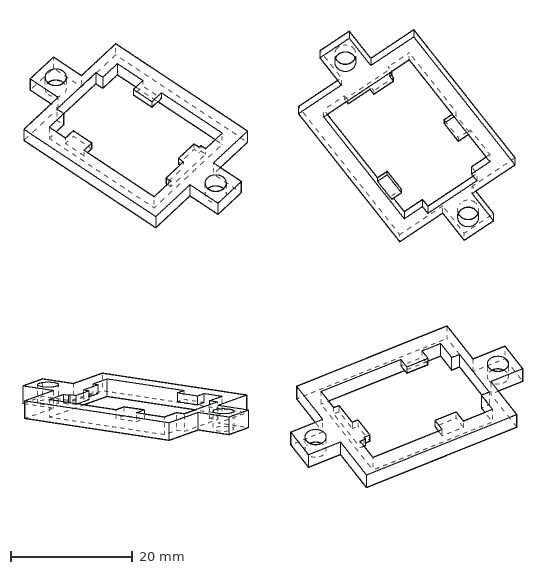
import cadquery as cq

total_length = 40.5
frame_length = 28.45
frame_width = 23.5
thickness = 3.0
opening_length = 22.6
opening_width = 17.4

lug_width = 6.0
hole_diameter = 3.5
lug_length = (total_length - frame_length) / 2
hole_offset = (frame_length + lug_length) / 2

notch_depth = 1.5
notch_width = 9.95

tab_thickness = thickness / 2
tab_size = 4.0
back_tab_center_x = -3.8
back_tab_reach = 2.45
front_tab_center_x = -5.8
front_tab_reach = 2.0
ledge_width = 8.9
ledge_reach = 1.0
end_tab_center_y = 2.0
end_tab_reach = 2.1

wall_x = opening_length / 2
wall_y = opening_width / 2


def block(x_min, x_max, y_min, y_max, z_min=0.0):
    """Box between the given limits, ending at the top face of the frame."""
    size = (x_max - x_min, y_max - y_min, thickness - z_min)
    return cq.Workplane("XY").box(*size, centered=False).translate((x_min, y_min, z_min))


def tab(x_min, x_max, y_min, y_max):
    """Thin block flush with the top face."""
    return block(x_min, x_max, y_min, y_max, thickness - tab_thickness)


def make_frame():
    """Rectangular frame with two drilled lugs and a notched opening."""
    plate = block(-frame_length / 2, frame_length / 2, -frame_width / 2, frame_width / 2)
    lugs = block(-total_length / 2, total_length / 2, -lug_width / 2, lug_width / 2)
    opening = block(-wall_x, wall_x, -wall_y, wall_y)
    notch = block(-wall_x - notch_depth, 0, -notch_width / 2, notch_width / 2)
    holes = (
        cq.Workplane("XY")
        .pushPoints([(-hole_offset, 0), (hole_offset, 0)])
        .circle(hole_diameter / 2)
        .extrude(thickness)
    )
    return plate.union(lugs).cut(opening).cut(notch).cut(holes)


def side_tab(center_x, y_min, y_max):
    """Tab on one of the long walls."""
    return tab(center_x - tab_size / 2, center_x + tab_size / 2, y_min, y_max)


def end_wall_tab(center_y, width, reach):
    """Tab on the +X wall."""
    return tab(wall_x - reach, wall_x, center_y - width / 2, center_y + width / 2)


tabs = [
    side_tab(back_tab_center_x, wall_y - back_tab_reach, wall_y),
    side_tab(front_tab_center_x, -wall_y, -wall_y + front_tab_reach),
    end_wall_tab(0, ledge_width, ledge_reach),
    end_wall_tab(end_tab_center_y, tab_size, end_tab_reach),
]

result = make_frame()
for item in tabs:
    result = result.union(item)